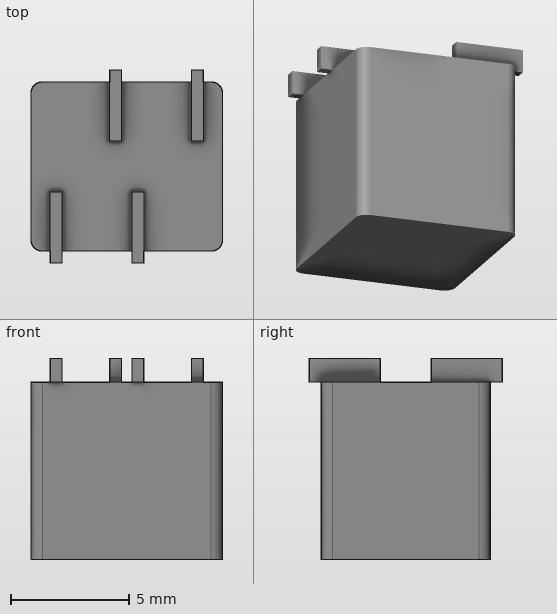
import cadquery as cq

body_length = 8.1
body_width = 7.15
body_height = 7.5
corner_radius = 0.49

terminal_width = 0.5
terminal_length = 3.0
terminal_height = 1.0
terminal_overhang = 0.5
outer_terminal_x = 2.98
inner_terminal_x = 0.47

terminal_y = body_width / 2 + terminal_overhang - terminal_length / 2


def make_body():
    block = cq.Workplane("XY").box(
        body_length, body_width, body_height, centered=(True, True, False)
    )
    return block.edges("|Z").fillet(corner_radius)


def make_terminal(x, y):
    bar = cq.Workplane("XY").box(
        terminal_width, terminal_length, terminal_height, centered=(True, True, False)
    )
    return bar.translate((x, y, body_height))


result = make_body()

for side in (-1, 1):
    for x in (outer_terminal_x, -inner_terminal_x):
        result = result.union(make_terminal(side * x, side * terminal_y))